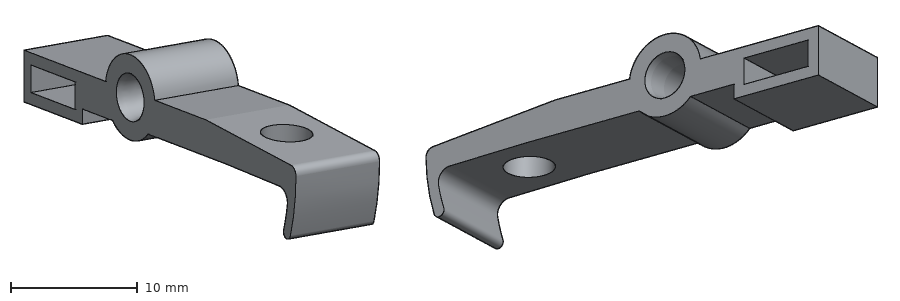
import cadquery as cq
import math

length = 38.27
width = 8.0
height = 10.18
pivot_to_end = 14.95
left_x = -pivot_to_end
right_x = length - pivot_to_end

boss_diameter = 7.0
bore_diameter = 3.3
lead_in_diameter = 3.6
lead_in_depth = 0.65
mouth_diameter = 3.9
bore_depth = 2.2

bar_top = 0.55
bar_bottom = -2.45
taper_start_x = left_x + 25.65
taper_angle = 5.0
lower_taper_start_x = left_x + 28.4
lower_taper_angle = 1.0

block_length = 8.23
block_bottom = -3.7
slot_wall = 1.0

hook_radius = 17.22
hook_thickness = 1.0
hook_center_x = right_x - hook_radius
hook_center_z = -1.15
tip_radius = hook_thickness / 2
tip_bottom = boss_diameter / 2 - height
outer_corner_radius = 0.75
inner_corner_radius = 1.15

hole_diameter = 4.15
hole_x = left_x + 31.08


def side_plane():
    """XZ plane on the +Y face, so that extrusions run toward -Y."""
    return cq.Workplane("XZ", origin=(0, width / 2, 0))


def hook_point(radius, angle):
    """Point on a hook arc, with the angle in radians below horizontal."""
    return (hook_center_x + radius * math.cos(angle), hook_center_z - radius * math.sin(angle))


def upper_taper_z(x):
    return bar_top - (x - taper_start_x) * math.tan(math.radians(taper_angle))


def lower_taper_z(x):
    return bar_bottom - (x - lower_taper_start_x) * math.tan(math.radians(lower_taper_angle))


def make_arm():
    """Bar, left block and curved hook as one side profile."""
    inner_radius = hook_radius - hook_thickness
    middle_radius = hook_radius - tip_radius
    tip_angle = math.asin((hook_center_z - tip_bottom - tip_radius) / middle_radius)
    tip_center = hook_point(middle_radius, tip_angle)
    tip_end = (
        tip_center[0] - tip_radius * math.sin(tip_angle),
        tip_center[1] - tip_radius * math.cos(tip_angle),
    )
    knee_z = lower_taper_z(right_x - hook_thickness)
    knee_angle = math.asin((hook_center_z - knee_z) / inner_radius)
    knee = hook_point(inner_radius, knee_angle)
    block_right = left_x + block_length

    profile = (
        side_plane()
        .moveTo(left_x, bar_top)
        .lineTo(taper_start_x, bar_top)
        .lineTo(right_x, upper_taper_z(right_x))
        .lineTo(right_x, hook_center_z)
        .threePointArc(hook_point(hook_radius, tip_angle / 2), hook_point(hook_radius, tip_angle))
        .threePointArc(tip_end, hook_point(inner_radius, tip_angle))
        .threePointArc(hook_point(inner_radius, (tip_angle + knee_angle) / 2), knee)
        .lineTo(lower_taper_start_x, bar_bottom)
        .lineTo(block_right, bar_bottom)
        .lineTo(block_right, block_bottom)
        .lineTo(left_x, block_bottom)
        .close()
    )
    arm = profile.extrude(width)
    outer_corner = (right_x, 0, upper_taper_z(right_x))
    inner_corner = (knee[0], 0, knee[1])
    arm = arm.edges(cq.NearestToPointSelector(outer_corner)).fillet(outer_corner_radius)
    return arm.edges(cq.NearestToPointSelector(inner_corner)).fillet(inner_corner_radius)


def make_slot():
    """Rectangular slot through the block, with an even wall all round."""
    slot_length = block_length - 2 * slot_wall
    slot_height = bar_top - block_bottom - 2 * slot_wall
    center = (left_x + block_length / 2, (bar_top + block_bottom) / 2)
    return side_plane().center(*center).rect(slot_length, slot_height).extrude(width)


def make_bore():
    """Pivot bore that widens at both ends in a slight taper and then a steeper lead-in."""
    half_width = width / 2
    lead_in_y = half_width - lead_in_depth
    straight_y = half_width - bore_depth
    return (
        cq.Workplane("XY")
        .polyline([
            (0, -half_width),
            (mouth_diameter / 2, -half_width),
            (lead_in_diameter / 2, -lead_in_y),
            (bore_diameter / 2, -straight_y),
            (bore_diameter / 2, straight_y),
            (lead_in_diameter / 2, lead_in_y),
            (mouth_diameter / 2, half_width),
            (0, half_width),
        ])
        .close()
        .revolve(360, (0, 0, 0), (0, 1, 0))
    )


def make_hole():
    """Round hole running down through the arm."""
    drill_height = bar_top - tip_bottom
    return (
        cq.Workplane("XY", origin=(hole_x, 0, tip_bottom))
        .circle(hole_diameter / 2)
        .extrude(drill_height)
    )


boss = side_plane().circle(boss_diameter / 2).extrude(width)
result = make_arm().union(boss).cut(make_slot()).cut(make_bore()).cut(make_hole())